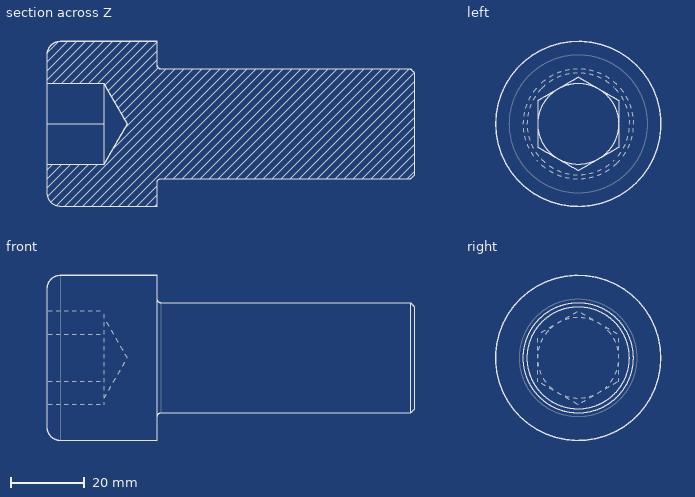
import cadquery as cq
import math

total_length = 100.0
head_length = 30.0
head_diameter = 45.0
head_edge_radius = 3.7
shank_diameter = 30.0
neck_fillet_radius = 1.0
tip_chamfer = 1.1
socket_across_flats = 22.0
socket_depth = 15.5
socket_cone_angle = 120.0


def make_body():
    """Head and shank, with rounded head rim, neck fillet and chamfered tip."""
    head_radius = head_diameter / 2
    shank_radius = shank_diameter / 2
    rim_arc_end = (head_edge_radius, head_radius)
    neck_arc_end = (head_length + neck_fillet_radius, shank_radius)
    profile = (
        cq.Workplane("XY")
        .lineTo(0, head_radius - head_edge_radius)
        .radiusArc(rim_arc_end, head_edge_radius)
        .lineTo(head_length, head_radius)
        .lineTo(head_length, shank_radius + neck_fillet_radius)
        .radiusArc(neck_arc_end, -neck_fillet_radius)
        .lineTo(total_length - tip_chamfer, shank_radius)
        .lineTo(total_length, shank_radius - tip_chamfer)
        .lineTo(total_length, 0)
        .close()
    )
    return profile.revolve(360, (0, 0, 0), (1, 0, 0))


def make_socket():
    """Hexagonal socket, corners toward +Z and -Z, with a conical bottom."""
    across_corners = socket_across_flats / math.cos(math.radians(30))
    hexagon = (
        cq.Workplane("YZ")
        .transformed(rotate=(0, 0, 90))
        .polygon(6, across_corners)
        .extrude(socket_depth)
    )
    cone_radius = socket_across_flats / 2
    cone_depth = cone_radius / math.tan(math.radians(socket_cone_angle / 2))
    cone = cq.Workplane(
        cq.Solid.makeCone(cone_radius, 0, cone_depth, cq.Vector(socket_depth, 0, 0), cq.Vector(1, 0, 0))
    )
    return hexagon.union(cone)


result = make_body().cut(make_socket())